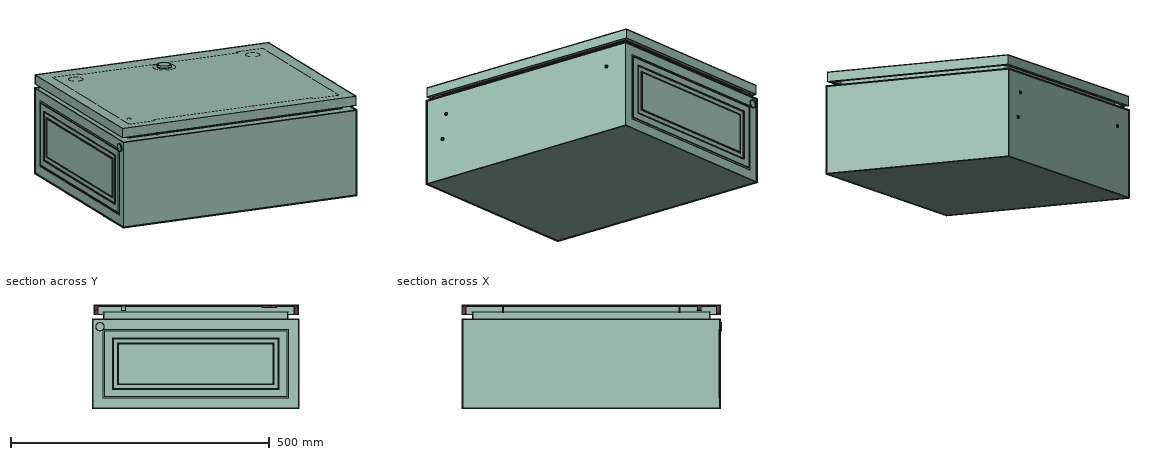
import cadquery as cq


SHEET = 1.5

BOX_X = 400.0
BOX_Y = 500.0
BOX_Z = 173.5
FRONT_Y = -BOX_Y / 2
RIM_X = 358.5
RIM_Y = 461.0
RIM_RADIUS = 4.5
RIM_TOP = 186.5

SIDE_HOLE_RADIUS = 3.0
SIDE_HOLES_YZ = [(201.0, 134.0), (-201.0, 134.0), (210.0, 84.5)]
PAD_X = -189.0
PAD_RADIUS = 6.5
PAD_HEIGHT = 1.5
PAD_AND_HINGE_Y = 170.5
HINGE_X = 185.0
HINGE_PIN_RADIUS = 1.0
HINGE_CAP_RADIUS = 8.0
HINGE_CAP_HEIGHT = 2.0
HINGE_CAP_DROP = 15.0

PLATE_Z = 87.0
OPENING_X = 352.5
OPENING_Z = 126.0
PLATE_LAP = 3.5
BEAD_X = 321.5
BEAD_Z = 99.5
BEAD_WIDTH = 11.0

DOOR_LEFT = -198.5
DOOR_RIGHT = 197.0
DOOR_X = DOOR_RIGHT - DOOR_LEFT
DOOR_MID_X = (DOOR_LEFT + DOOR_RIGHT) / 2
DOOR_BOTTOM = 181.5
DOOR_TOP = 200.5
SKIRT = 8.0
UNDERSIDE = DOOR_TOP - SHEET
FRAME_LEFT_INSET = 26.5
FRAME_RIGHT_INSET = 24.0
FRAME_END_INSET = 25.0
FRAME_DEPTH = 1.0
FRAME_BOTTOM = UNDERSIDE - FRAME_DEPTH
SIDE_RAIL_EXTRA = 6.5
SIDE_RAIL_LENGTH = 338.5
BUFFER_X = -142.0
BUFFER_Y = 189.5
BUFFER_RADIUS = 14.0
BUFFER_HEIGHT = 3.5
STUD_X = 139.5
STUD_Y = -209.0
STUD_RADIUS = 4.0
STUD_HEIGHT = 8.5

LOCK_X = BUFFER_X
LOCK_RADIUS = 14.0
LOCK_TOP = 204.5
LOCK_TAPER_HEIGHT = 3.5
LOCK_TAPER_WIDTH = 1.5
LOCK_FLANGE_RADIUS = 22.0
LOCK_FLANGE_HEIGHT = 5.0


def slab(size_x, size_y, bottom, top, mid_x=0.0):
    """Block centred on mid_x and Y = 0, between two heights."""
    return cq.Workplane("XY", origin=(mid_x, 0, bottom)).rect(size_x, size_y).extrude(top - bottom)


def post(x, y, radius, bottom, top):
    """Upright cylinder between two heights."""
    return cq.Workplane("XY", origin=(x, y, bottom)).circle(radius).extrude(top - bottom)


def front_panel(size_x, size_z, near, far):
    """Block centred on the gland plate, between two depths behind the front face."""
    front = cq.Workplane("XZ", origin=(0, FRONT_Y + near, PLATE_Z))
    return front.rect(size_x, size_z).extrude(near - far)


def make_box():
    """Hollow box with rim, side holes, latch pads, hinge pins and one hinge cap."""
    body = slab(BOX_X, BOX_Y, 0, BOX_Z)
    body = body.union(slab(RIM_X, RIM_Y, BOX_Z - SHEET, RIM_TOP).edges("|Z").fillet(RIM_RADIUS))
    body = body.cut(slab(BOX_X - 2 * SHEET, BOX_Y - 2 * SHEET, SHEET, BOX_Z - SHEET))
    mouth = slab(RIM_X - 2 * SHEET, RIM_Y - 2 * SHEET, BOX_Z - SHEET, RIM_TOP)
    body = body.cut(mouth.edges("|Z").fillet(RIM_RADIUS - SHEET))
    body = body.cut(front_panel(OPENING_X, OPENING_Z, 0, SHEET))

    for y, z in SIDE_HOLES_YZ:
        hole = cq.Workplane("YZ", origin=(-BOX_X / 2, y, z)).circle(SIDE_HOLE_RADIUS).extrude(SHEET)
        body = body.cut(hole)

    for y in (-PAD_AND_HINGE_Y, PAD_AND_HINGE_Y):
        body = body.union(post(PAD_X, y, PAD_RADIUS, BOX_Z, BOX_Z + PAD_HEIGHT))
        body = body.union(post(HINGE_X, y, HINGE_PIN_RADIUS, BOX_Z, FRAME_BOTTOM))

    cap = cq.Workplane("XZ", origin=(HINGE_X, FRONT_Y, BOX_Z - HINGE_CAP_DROP))
    return body.union(cap.circle(HINGE_CAP_RADIUS).extrude(HINGE_CAP_HEIGHT))


def make_gland_plate():
    """Flange behind the front wall with a pressed bead that comes flush with the front face."""
    flange = front_panel(OPENING_X + 2 * PLATE_LAP, OPENING_Z + 2 * PLATE_LAP, SHEET, 2 * SHEET)
    field_x = BEAD_X - 2 * BEAD_WIDTH
    field_z = BEAD_Z - 2 * BEAD_WIDTH
    bead = front_panel(BEAD_X, BEAD_Z, 0, SHEET).cut(front_panel(field_x, field_z, 0, SHEET))
    groove = front_panel(BEAD_X - 2 * SHEET, BEAD_Z - 2 * SHEET, SHEET, 2 * SHEET)
    groove = groove.cut(front_panel(field_x + 2 * SHEET, field_z + 2 * SHEET, SHEET, 2 * SHEET))
    return flange.union(bead).cut(groove)


def make_door():
    """Door tray with its frame, two round buffers and an earthing stud underneath."""
    door = slab(DOOR_X, BOX_Y, DOOR_BOTTOM, DOOR_TOP, DOOR_MID_X)
    door = door.cut(slab(DOOR_X - 2 * SKIRT, BOX_Y - 2 * SKIRT, DOOR_BOTTOM, FRAME_BOTTOM, DOOR_MID_X))

    window_x = DOOR_X - FRAME_LEFT_INSET - FRAME_RIGHT_INSET
    window_y = BOX_Y - 2 * FRAME_END_INSET
    window_mid_x = DOOR_MID_X + (FRAME_LEFT_INSET - FRAME_RIGHT_INSET) / 2
    ends = slab(window_x, window_y, FRAME_BOTTOM, UNDERSIDE, window_mid_x)
    ends = ends.cut(slab(window_x, SIDE_RAIL_LENGTH, FRAME_BOTTOM, UNDERSIDE, window_mid_x))
    middle = slab(window_x - 2 * SIDE_RAIL_EXTRA, SIDE_RAIL_LENGTH, FRAME_BOTTOM, UNDERSIDE, window_mid_x)
    door = door.cut(ends.union(middle))

    for y in (-BUFFER_Y, BUFFER_Y):
        door = door.union(post(BUFFER_X, y, BUFFER_RADIUS, UNDERSIDE - BUFFER_HEIGHT, UNDERSIDE))
    return door.union(post(STUD_X, STUD_Y, STUD_RADIUS, UNDERSIDE - STUD_HEIGHT, UNDERSIDE))


def make_lock():
    """Tapered lock barrel through the door sheet, with a wider flange under it."""
    barrel = post(LOCK_X, 0, LOCK_RADIUS, UNDERSIDE, LOCK_TOP)
    barrel = barrel.faces(">Z").chamfer(LOCK_TAPER_HEIGHT, LOCK_TAPER_WIDTH)
    flange = post(LOCK_X, 0, LOCK_FLANGE_RADIUS, UNDERSIDE - LOCK_FLANGE_HEIGHT, UNDERSIDE)
    return barrel.union(flange)


box = make_box()
gland_plate = make_gland_plate()
lock = make_lock()
door = make_door().cut(lock)
result = cq.Compound.makeCompound([box.val(), gland_plate.val(), door.val(), lock.val()])